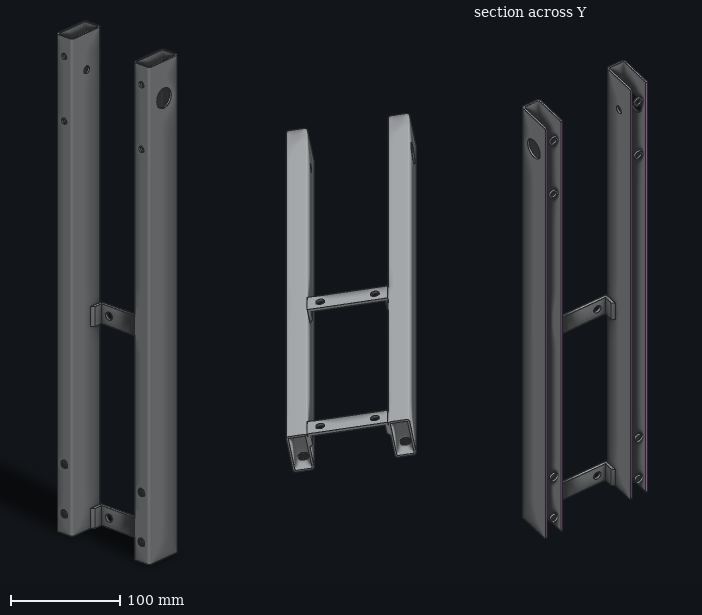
import cadquery as cq

frame_width = 115.0
tube_width = 20.0
tube_depth = 40.0
tube_length = 500.0
tube_wall = 2.0
tube_corner_radius = 3.0
tube_inner_radius = tube_corner_radius - tube_wall

tube_offset = (frame_width - tube_width) / 2
tube_gap = frame_width - 2 * tube_width
front_face = -tube_depth / 2
back_face = tube_depth / 2
sides = (-1, 1)

small_hole_diameter = 6.0
small_hole_heights = (415.0, 480.0)
large_hole_diameter = 8.0
large_hole_heights = (20.0, 70.0)
bore_reduction = 0.5
collar_diameter = 9.5
collar_depth = 4.0

cross_bolt_height = tube_length - 37.0
access_hole_diameter = 20.0
bolt_hole_diameter = 7.5

bracket_height = 20.0
bracket_thickness = 3.0
bracket_leg = 15.0
bracket_hole_diameter = 8.0
bracket_hole_spacing = 51.0
bracket_bottoms = (0.0, 203.0)


def cylinder_along_y(diameter, start, length, x, z):
    """Cylinder running towards +Y from y = start."""
    axis = cq.Vector(0, 1, 0)
    return cq.Workplane(cq.Solid.makeCylinder(diameter / 2, length, cq.Vector(x, start, z), axis))


def cylinder_along_x(diameter, start, length, z):
    """Cylinder running towards +X from x = start, at mid-depth of the tubes."""
    axis = cq.Vector(1, 0, 0)
    return cq.Workplane(cq.Solid.makeCylinder(diameter / 2, length, cq.Vector(start, 0, z), axis))


def rounded_bar(width, depth, radius):
    """Upright bar of tube length with rounded vertical corners."""
    bar = cq.Workplane("XY").rect(width, depth).extrude(tube_length)
    return bar.edges("|Z").fillet(radius)


def add_collared_hole(tube, diameter, x, z):
    """Hole through the front wall that continues, narrower, through a collar inside the tube."""
    collar = cylinder_along_y(collar_diameter, front_face, collar_depth, x, z)
    bore = cylinder_along_y(diameter - bore_reduction, front_face, collar_depth, x, z)
    hole = cylinder_along_y(diameter, front_face, tube_wall, x, z)
    return tube.union(collar).cut(bore).cut(hole)


def make_tube(side):
    """Tube on the given side, with its collared front holes and cross bolt holes."""
    x = side * tube_offset
    cavity = rounded_bar(tube_width - 2 * tube_wall, tube_depth - 2 * tube_wall, tube_inner_radius)
    tube = rounded_bar(tube_width, tube_depth, tube_corner_radius).cut(cavity)
    tube = tube.translate((x, 0, 0))

    for z in small_hole_heights:
        tube = add_collared_hole(tube, small_hole_diameter, x, z)
    for z in large_hole_heights:
        tube = add_collared_hole(tube, large_hole_diameter, x, z)

    half_width = tube_width / 2
    outer_start = min(x, x + side * half_width)
    inner_start = min(x, x - side * half_width)
    access_hole = cylinder_along_x(access_hole_diameter, outer_start, half_width, cross_bolt_height)
    bolt_hole = cylinder_along_x(bolt_hole_diameter, inner_start, half_width, cross_bolt_height)
    return tube.cut(access_hole).cut(bolt_hole)


def make_bracket(bottom):
    """Bracket with its web flush with the tube backs and its legs against the tubes."""
    outer_x = tube_gap / 2
    inner_x = outer_x - bracket_thickness
    web_face = back_face - bracket_thickness
    tip = back_face - bracket_leg
    bevel_start = tip + bracket_thickness
    bracket = (
        cq.Workplane("XY", origin=(0, 0, bottom))
        .moveTo(-outer_x, back_face)
        .lineTo(outer_x, back_face)
        .lineTo(outer_x, tip)
        .lineTo(inner_x, bevel_start)
        .lineTo(inner_x, web_face)
        .lineTo(-inner_x, web_face)
        .lineTo(-inner_x, bevel_start)
        .lineTo(-outer_x, tip)
        .close()
        .extrude(bracket_height)
    )
    for side in sides:
        x = side * bracket_hole_spacing / 2
        z = bottom + bracket_height / 2
        hole = cylinder_along_y(bracket_hole_diameter, web_face, bracket_thickness, x, z)
        bracket = bracket.cut(hole)
    return bracket


result = make_tube(-1).union(make_tube(1))
for bracket_bottom in bracket_bottoms:
    result = result.union(make_bracket(bracket_bottom))